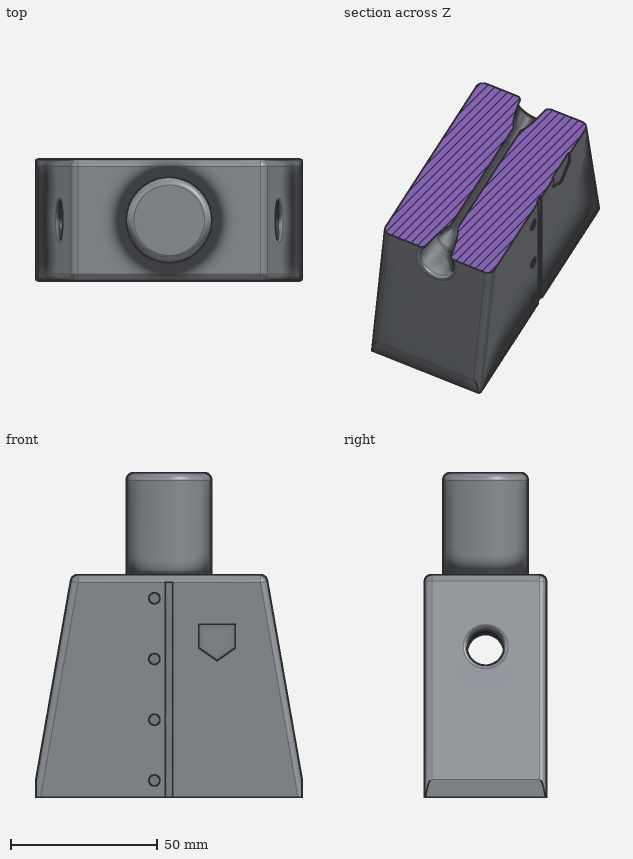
import cadquery as cq
import math

total_height = 111.1
body_height = 76.2
body_depth = 41.9
body_top_width = 66.7
base_width = 91.1
end_lean = 9.9
edge_radius = 2.6

neck_diameter = 29.2

bore_diameter = 12.7
bore_mouth_height = 51.7
bore_depth = 13.3
bore_lip_radius = 1.3

recess_depth = 0.5
groove_width = 2.6
button_diameter = 3.8
button_x = -5.0
button_count = 4
button_pitch = 20.8
lowest_button_z = 5.8
pocket_left = 10.2
pocket_width = 12.5
pocket_top = 59.2
pocket_side_height = 8.1
pocket_total_height = 12.5

lean = math.radians(end_lean)
body_foot_width = body_top_width + 2 * body_height * math.tan(lean)
front_y = -body_depth / 2


def make_body():
    half_foot = body_foot_width / 2
    half_top = body_top_width / 2
    outline = [(-half_foot, 0), (half_foot, 0), (half_top, body_height), (-half_top, body_height)]
    body = cq.Workplane("XZ").polyline(outline).close().extrude(body_depth / 2, both=True)
    body = body.edges("not <Z").fillet(edge_radius)
    envelope = cq.Workplane("XY").box(base_width, body_depth, body_height, centered=(True, True, False))
    return body.intersect(envelope)


def make_neck():
    neck = cq.Workplane("XY").circle(neck_diameter / 2).extrude(total_height)
    return neck.faces(">Z").edges().fillet(edge_radius)


def make_arm_passage():
    """Two bores square to the leaning ends, joined by a level bore with rounded elbows."""
    mouth_x = body_top_width / 2 + (body_height - bore_mouth_height) * math.tan(lean)
    inner_x = mouth_x - bore_depth * math.cos(lean)
    inner_z = bore_mouth_height - bore_depth * math.sin(lean)
    bore_radius = bore_diameter / 2

    lip_middle = bore_lip_radius * (1 - math.sqrt(0.5))
    end_bore = (
        cq.Workplane("XY")
        .lineTo(bore_radius + bore_lip_radius, 0)
        .threePointArc((bore_radius + lip_middle, lip_middle), (bore_radius, bore_lip_radius))
        .lineTo(bore_radius, bore_depth)
        .lineTo(0, bore_depth)
        .close()
        .revolve(360, (0, 0), (0, 1))
        .rotate((0, 0, 0), (0, 0, 1), -90)
        .rotate((0, 0, 0), (0, 1, 0), end_lean)
        .translate((-mouth_x, 0, bore_mouth_height))
    )
    link = (
        cq.Workplane("YZ", origin=(0, 0, inner_z))
        .circle(bore_radius)
        .extrude(inner_x, both=True)
    )
    elbow = cq.Workplane("XY").sphere(bore_radius).translate((-inner_x, 0, inner_z))
    end_bore = end_bore.union(elbow)
    return link.union(end_bore).union(end_bore.mirror("YZ"))


def front_plane():
    return cq.Workplane("XZ", origin=(0, front_y, 0))


def make_groove():
    groove_height = body_height - edge_radius
    return front_plane().rect(groove_width, 2 * groove_height).extrude(-recess_depth)


def make_buttons():
    places = [(button_x, lowest_button_z + i * button_pitch) for i in range(button_count)]
    return front_plane().pushPoints(places).circle(button_diameter / 2).extrude(-recess_depth)


def make_pocket():
    right = pocket_left + pocket_width
    side_bottom = pocket_top - pocket_side_height
    outline = [
        (pocket_left, pocket_top),
        (right, pocket_top),
        (right, side_bottom),
        (pocket_left + pocket_width / 2, pocket_top - pocket_total_height),
        (pocket_left, side_bottom),
    ]
    return front_plane().polyline(outline).close().extrude(-recess_depth)


result = (
    make_body()
    .union(make_neck())
    .cut(make_arm_passage())
    .cut(make_groove())
    .cut(make_buttons())
    .cut(make_pocket())
    .solids()
)